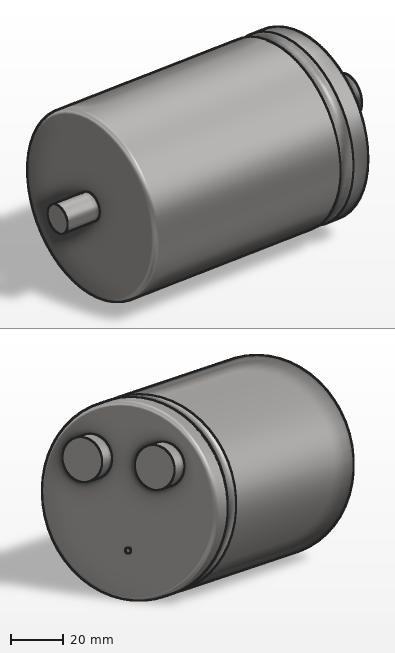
import cadquery as cq

total_length = 130.6
can_diameter = 78.0
can_radius = can_diameter / 2
stud_diameter = 12.0
stud_length = 15.9
terminal_diameter = 17.5
terminal_height = 7.6
terminal_offset = 15.9
edge_radius = 2.1

rim_width = 8.5
groove_width = 6.4
groove_depth = 1.6

vent_diameter = 2.4
vent_height = 0.4
vent_offset = 19.2

stud_end = -total_length / 2
base_face = stud_end + stud_length
terminal_end = total_length / 2
terminal_face = terminal_end - terminal_height
groove_end = terminal_face - rim_width
groove_middle = groove_end - groove_width / 2
groove_start = groove_end - groove_width


def cylinder_along_y(diameter, start, end, x=0, z=0):
    """Solid cylinder parallel to Y between two stations."""
    return cq.Workplane(
        cq.Solid.makeCylinder(diameter / 2, end - start, cq.Vector(x, start, z), cq.Vector(0, 1, 0))
    )


def make_can():
    """Revolve the half profile of the can, then round both end edges."""
    profile = (
        cq.Workplane("XY")
        .moveTo(0, base_face)
        .lineTo(can_radius, base_face)
        .lineTo(can_radius, groove_start)
        .threePointArc((can_radius - groove_depth, groove_middle), (can_radius, groove_end))
        .lineTo(can_radius, terminal_face)
        .lineTo(0, terminal_face)
        .close()
    )
    can = profile.revolve(360, (0, 0, 0), (0, 1, 0))
    return can.faces("<Y or >Y").edges().fillet(edge_radius)


result = make_can()
result = result.union(cylinder_along_y(stud_diameter, stud_end, base_face + edge_radius))

for side in (-1, 1):
    result = result.union(
        cylinder_along_y(
            terminal_diameter,
            terminal_face - edge_radius,
            terminal_end,
            x=side * terminal_offset,
            z=terminal_offset,
        )
    )

result = result.union(
    cylinder_along_y(vent_diameter, terminal_face - edge_radius, terminal_face + vent_height, z=-vent_offset)
)